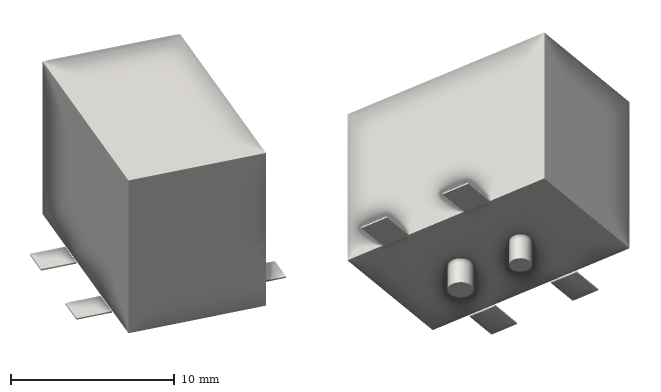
import cadquery as cq

housing_length = 14.8
housing_width = 9.0
housing_height = 11.0

pad_span = 13.72
pad_gap = 0.04
pad_width = 1.92
pad_thickness = 0.1
pad_pitch = 6.1
first_pad_x = -2.4
pad_inner_y = housing_width / 2 + pad_gap
pad_length = pad_span / 2 - pad_inner_y
pad_centre_y = pad_inner_y + pad_length / 2

peg_length = 1.8
small_peg_diameter = 1.4
small_peg_x = -2.4
large_peg_diameter = 1.6
large_peg_x = 2.1


def make_housing():
    """Block with its underside on Z = 0."""
    return cq.Workplane("XY").box(
        housing_length, housing_width, housing_height, centered=(True, True, False)
    )


def make_pad(x, y):
    """Thin plate centred on (x, y), with its top face level with the housing underside."""
    return cq.Workplane("XY").center(x, y).rect(pad_width, pad_length).extrude(-pad_thickness)


def make_peg(x, diameter):
    """Round peg hanging from the housing underside."""
    return cq.Workplane("XY").center(x, 0).circle(diameter / 2).extrude(-peg_length)


housing = make_housing()

pads = []
for pad_x in (first_pad_x, first_pad_x + pad_pitch):
    for side in (-1, 1):
        pads.append(make_pad(pad_x, side * pad_centre_y))

small_peg = make_peg(small_peg_x, small_peg_diameter)
large_peg = make_peg(large_peg_x, large_peg_diameter)

result = cq.Compound.makeCompound(
    [housing.val(), small_peg.val(), large_peg.val(), *[pad.val() for pad in pads]]
)